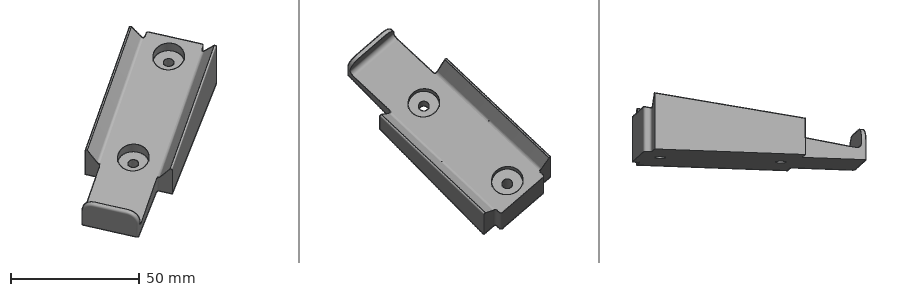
import cadquery as cq

length = 88.6
spine_width = 23.2
wing_width = 35.5
wing_front = 25.5
wing_back = 85.5
wing_length = wing_back - wing_front
corner_radius = 0.9

floor_front_height = 4.1
floor_back_height = 17.9
floor_slope = (floor_back_height - floor_front_height) / length
wing_front_height = 14.5
wing_back_height = 22.4
channel_floor_half_width = 12.5
wing_rim_width = 0.9
rim_radius = 0.5
channel_fillet = 1.3

lip_thickness = 1.95
lip_height = 12.85
lip_corner_radius = 5.0
lip_fillet = 1.95

hole_diameter = 4.1
counterbore_diameter = 12.3
counterbore_depth = 3.5
front_hole_y = 31.7
hole_spacing = 48.0


def floor_height(y):
    return floor_front_height + floor_slope * y


def make_outline():
    """Plan outline of the part, extruded to the full height."""
    spine = cq.Workplane("XY").box(
        spine_width, length, wing_back_height, centered=(True, False, False)
    )
    wings = cq.Workplane("XY").box(
        wing_width, wing_length, wing_back_height, centered=(True, False, False)
    ).translate((0, wing_front, 0))
    margin = 0.1
    near_spine = cq.selectors.BoxSelector(
        (-spine_width / 2 - margin, margin, -margin),
        (spine_width / 2 + margin, length + margin, wing_back_height + margin),
    )
    body = spine.union(wings)
    return body.edges("|Z").edges(near_spine).fillet(corner_radius)


def make_side_profile():
    """Side silhouette: lip, filleted corner, sloping floor and wing tops."""
    profile = (
        cq.Workplane("YZ")
        .moveTo(0, 0)
        .lineTo(length, 0)
        .lineTo(length, floor_back_height)
        .lineTo(wing_back, floor_height(wing_back))
        .lineTo(wing_back, wing_back_height)
        .lineTo(wing_front, wing_front_height)
        .lineTo(wing_front, floor_height(wing_front))
        .lineTo(lip_thickness, floor_height(lip_thickness))
        .lineTo(lip_thickness, lip_height)
        .lineTo(0, lip_height)
        .close()
        .extrude(wing_width / 2, both=True)
    )
    lip_root = cq.selectors.NearestToPointSelector(
        (0, lip_thickness, floor_height(lip_thickness))
    )
    return profile.edges("|X").edges(lip_root).fillet(lip_fillet)


def channel_section(y, rim_height):
    """Closed wire across the channel; its sides extend on above the rim."""
    rim_half_width = wing_width / 2 - wing_rim_width
    bottom = floor_height(y)
    points = [
        (-channel_floor_half_width, bottom),
        (channel_floor_half_width, bottom),
        (rim_half_width, rim_height),
        (rim_half_width, wing_back_height + rim_radius),
        (-rim_half_width, wing_back_height + rim_radius),
        (-rim_half_width, rim_height),
    ]
    return cq.Wire.makePolygon([cq.Vector(x, y, z) for x, z in points], close=True)


def make_channel():
    """Tapering channel cutter between the wings, rounded along its floor."""
    sections = [
        channel_section(wing_front, wing_front_height),
        channel_section(wing_back, wing_back_height),
    ]
    channel = cq.Workplane(cq.Solid.makeLoft(sections, True))
    middle_y = (wing_front + wing_back) / 2
    for side in (-1, 1):
        floor_edge = cq.selectors.NearestToPointSelector(
            (side * channel_floor_half_width, middle_y, floor_height(middle_y))
        )
        channel = channel.edges(floor_edge).fillet(channel_fillet)
    return channel


def round_wing_rims(body):
    """Round the outer top edge of each wing."""
    middle_y = (wing_front + wing_back) / 2
    middle_z = (wing_front_height + wing_back_height) / 2
    for side in (-1, 1):
        rim_edge = cq.selectors.NearestToPointSelector((side * wing_width / 2, middle_y, middle_z))
        body = body.edges(rim_edge).fillet(rim_radius)
    return body


def round_lip(body):
    """Round the upper corners of the lip, then its front edge down both sides."""
    for side in (-1, 1):
        corner = cq.selectors.NearestToPointSelector(
            (side * spine_width / 2, lip_thickness / 2, lip_height)
        )
        body = body.edges("|Y").edges(corner).fillet(lip_corner_radius)
    return body.faces("<Y").edges("not <Z").fillet(corner_radius)


def make_screw_hole(y):
    """Vertical through hole with a flat counterbore sunk into the sloping floor."""
    seat_height = floor_height(y) - counterbore_depth
    shank = cq.Workplane("XY").center(0, y).circle(hole_diameter / 2).extrude(wing_back_height)
    counterbore = (
        cq.Workplane("XY", origin=(0, y, seat_height))
        .circle(counterbore_diameter / 2)
        .extrude(wing_back_height - seat_height)
    )
    return shank.union(counterbore)


result = make_outline().intersect(make_side_profile()).cut(make_channel())
result = round_wing_rims(result)
result = round_lip(result)
for hole_number in range(2):
    result = result.cut(make_screw_hole(front_hole_y + hole_number * hole_spacing))